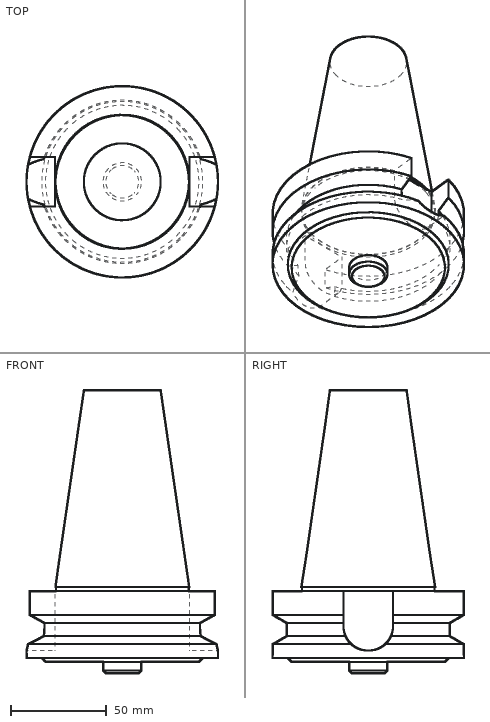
import math

import cadquery as cq

GAUGE_DIAMETER = 69.85
TAPER_LENGTH = 101.8
TAPER_RATIO = 7 / 24
SMALL_END_DIAMETER = GAUGE_DIAMETER - TAPER_LENGTH * TAPER_RATIO
TAPER_RUNOUT = 1.0
LARGE_END_DIAMETER = 70.0
NECK_DIAMETER = 69.4

FLANGE_DIAMETER = 99.97
FLANGE_TOP_Z = -3.0
FLANGE_HEIGHT = 35.0
FLANGE_BOTTOM_Z = FLANGE_TOP_Z - FLANGE_HEIGHT
GROOVE_DIAMETER = 85.3
GROOVE_CENTER_Z = -23.1
GROOVE_FLOOR_WIDTH = 6.8
GROOVE_WALL_ANGLE = 30.0
GROOVE_WALL_DROP = (FLANGE_DIAMETER - GROOVE_DIAMETER) / 2 * math.tan(math.radians(GROOVE_WALL_ANGLE))

STEP_DIAMETER = 84.0
STEP_HEIGHT = 2.0

PIN_DIAMETER = 20.0
PIN_LENGTH = 6.0
PIN_CHAMFER = 1.5

SLOT_WIDTH = 25.8
SLOT_CORNER_RADIUS = 12.5
SLOT_DEPTH_BELOW_FLANGE_TOP = 31.0
SLOT_FLOOR_X = 35.0


def make_turned_body():
    """Revolve the half profile of shank, flange, step and pin about Z."""
    floor_top_z = GROOVE_CENTER_Z + GROOVE_FLOOR_WIDTH / 2
    floor_bottom_z = GROOVE_CENTER_Z - GROOVE_FLOOR_WIDTH / 2
    step_bottom_z = FLANGE_BOTTOM_Z - STEP_HEIGHT
    pin_bottom_z = step_bottom_z - PIN_LENGTH
    profile = [
        (0, TAPER_LENGTH),
        (SMALL_END_DIAMETER / 2, TAPER_LENGTH),
        (LARGE_END_DIAMETER / 2, -TAPER_RUNOUT),
        (NECK_DIAMETER / 2, -TAPER_RUNOUT),
        (NECK_DIAMETER / 2, FLANGE_TOP_Z),
        (FLANGE_DIAMETER / 2, FLANGE_TOP_Z),
        (FLANGE_DIAMETER / 2, floor_top_z + GROOVE_WALL_DROP),
        (GROOVE_DIAMETER / 2, floor_top_z),
        (GROOVE_DIAMETER / 2, floor_bottom_z),
        (FLANGE_DIAMETER / 2, floor_bottom_z - GROOVE_WALL_DROP),
        (FLANGE_DIAMETER / 2, FLANGE_BOTTOM_Z),
        (STEP_DIAMETER / 2, FLANGE_BOTTOM_Z),
        (STEP_DIAMETER / 2 - STEP_HEIGHT, step_bottom_z),
        (PIN_DIAMETER / 2, step_bottom_z),
        (PIN_DIAMETER / 2, pin_bottom_z + PIN_CHAMFER),
        (PIN_DIAMETER / 2 - PIN_CHAMFER, pin_bottom_z),
        (0, pin_bottom_z),
    ]
    return cq.Workplane("XZ").polyline(profile).close().revolve(360, (0, 0, 0), (0, 1, 0))


def make_slot_cutter(side):
    """Drive slot with two rounded bottom corners, open at the top; side is +1 or -1 along X."""
    slot_block = cq.Workplane("XY").box(
        FLANGE_DIAMETER / 2,
        SLOT_WIDTH,
        SLOT_DEPTH_BELOW_FLANGE_TOP,
        centered=(True, True, False),
    )
    rounded_block = slot_block.faces("<Z").edges("|X").fillet(SLOT_CORNER_RADIUS)
    center_x = side * (SLOT_FLOOR_X + FLANGE_DIAMETER / 4)
    return rounded_block.translate((center_x, 0, FLANGE_TOP_Z - SLOT_DEPTH_BELOW_FLANGE_TOP))


result = make_turned_body()
for slot_side in (1, -1):
    result = result.cut(make_slot_cutter(slot_side))